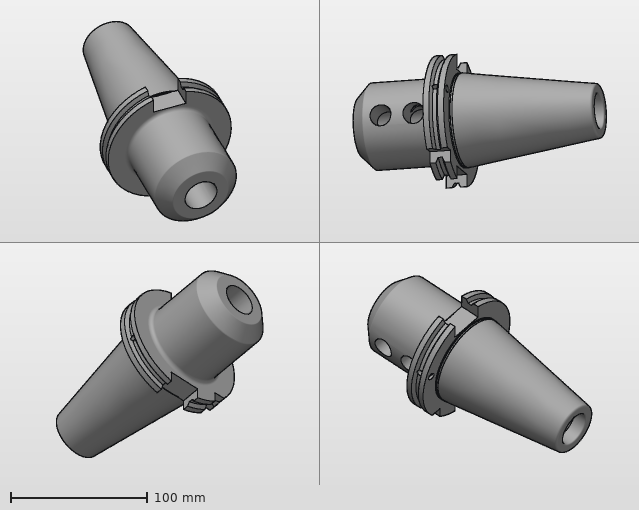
import cadquery as cq
import math

LENGTH = 181.8

TAPER_RATIO = 7 / 24
TAPER_END_X = 102.5
TAPER_R = 70.0 / 2
TAPER_TIP_R = TAPER_R - TAPER_END_X * TAPER_RATIO / 2
TIP_ROUND = 1.8
RELIEF_END_X = 104.0
RELIEF_DEPTH = 0.4

FLANGE_START_X = 104.9
FLANGE_END_X = 120.7
FLANGE_R = 97.5 / 2
GROOVE_X = 112.9
GROOVE_R = 45.6
GROOVE_FLOOR_WIDTH = 3.0
GROOVE_MOUTH_WIDTH = GROOVE_FLOOR_WIDTH + 2 * (FLANGE_R - GROOVE_R) * math.tan(math.radians(30))

NOSE_R = 64.5 / 2
NECK_FILLET = 3.0
NOSE_CONE_X = 171.4
NOSE_EDGE_ROUND = 1.0
NOSE_FACE_R = NOSE_R - (LENGTH - NOSE_CONE_X)
FACE_EDGE_ROUND = 1.0

PILOT_R = 26.0 / 2
PILOT_DEPTH = 11.3
PILOT_MOUTH_ROUND = 1.0
THROUGH_R = 21.0 / 2
TOOL_BORE_R = 25.0 / 2
TOOL_BORE_DEPTH = 58.2

SLOT_WIDTH = 25.6
TOP_SLOT_FLOOR = 35.5
BOTTOM_SLOT_FLOOR = 37.6
NOTCH_OFFSET = 29.8

SCREW_HOLE_R = 15.8 / 2
SCREW_HOLE_X = 157.8
SCREW_HOLE_PITCH = 25.0

COOLANT_ANGLE = 20.0
COOLANT_TILT = 35.0
COOLANT_START_R = 42.0
COOLANT_MOUTH_R = 5.0 / 2
COOLANT_MOUTH_DEPTH = 4.4
COOLANT_R = 2.5 / 2
PLUG_HOLE_R = 4.2 / 2

CLEARANCE = 3.6


def directed_cylinder(start, direction, radius, length):
    """Cylinder of the given length along any direction."""
    return cq.Solid.makeCylinder(radius, length, start, direction)


def tapered_shank():
    """Taper with a rounded tip and a shallow relief in front of the flange."""
    relief_r = TAPER_R - RELIEF_DEPTH
    profile = (
        cq.Workplane("XY")
        .lineTo(0, TAPER_TIP_R)
        .lineTo(TAPER_END_X, TAPER_R)
        .lineTo(TAPER_END_X, relief_r)
        .lineTo(RELIEF_END_X, relief_r)
        .lineTo(RELIEF_END_X, TAPER_R)
        .lineTo(FLANGE_START_X, TAPER_R)
        .lineTo(FLANGE_START_X, 0)
        .close()
    )
    shank = profile.revolve(360, (0, 0, 0), (1, 0, 0))
    return shank.faces("<X").edges().fillet(TIP_ROUND)


def nose():
    """Cylindrical nose with a 45 degree front cone and softened edges."""
    profile = (
        cq.Workplane("XY")
        .moveTo(FLANGE_START_X, 0)
        .lineTo(FLANGE_START_X, NOSE_R)
        .lineTo(NOSE_CONE_X, NOSE_R)
        .lineTo(LENGTH, NOSE_FACE_R)
        .lineTo(LENGTH, 0)
        .close()
    )
    body = profile.revolve(360, (0, 0, 0), (1, 0, 0))
    body = body.faces(">X").edges().fillet(FACE_EDGE_ROUND)
    cone_edge = cq.selectors.BoxSelector(
        (NOSE_CONE_X - 0.2, -LENGTH, -LENGTH), (NOSE_CONE_X + 0.2, LENGTH, LENGTH)
    )
    return body.edges(cone_edge).fillet(NOSE_EDGE_ROUND)


def neck_fillet():
    """Concave ring blending the nose into the back of the flange."""
    outer_r = NOSE_R + NECK_FILLET
    end_x = FLANGE_END_X + NECK_FILLET
    arc_offset = NECK_FILLET * (1 - math.sqrt(0.5))
    return (
        cq.Workplane("XY")
        .moveTo(FLANGE_START_X, 0)
        .lineTo(FLANGE_START_X, outer_r)
        .lineTo(FLANGE_END_X, outer_r)
        .threePointArc((FLANGE_END_X + arc_offset, NOSE_R + arc_offset), (end_x, NOSE_R))
        .lineTo(end_x, 0)
        .close()
        .revolve(360, (0, 0, 0), (1, 0, 0))
    )


def flange():
    """Disc with the V groove."""
    profile = (
        cq.Workplane("XY")
        .moveTo(FLANGE_START_X, 0)
        .lineTo(FLANGE_START_X, FLANGE_R)
        .lineTo(GROOVE_X - GROOVE_MOUTH_WIDTH / 2, FLANGE_R)
        .lineTo(GROOVE_X - GROOVE_FLOOR_WIDTH / 2, GROOVE_R)
        .lineTo(GROOVE_X + GROOVE_FLOOR_WIDTH / 2, GROOVE_R)
        .lineTo(GROOVE_X + GROOVE_MOUTH_WIDTH / 2, FLANGE_R)
        .lineTo(FLANGE_END_X, FLANGE_R)
        .lineTo(FLANGE_END_X, 0)
        .close()
    )
    return profile.revolve(360, (0, 0, 0), (1, 0, 0))


def flange_cutouts():
    """Two drive slots and the corner notch, across the full width of the flange."""
    width = FLANGE_END_X - FLANGE_START_X
    top_slot = cq.Workplane("XY").box(width, SLOT_WIDTH, FLANGE_R, centered=(False, True, False))
    bottom_slot = top_slot.translate((FLANGE_START_X, 0, -BOTTOM_SLOT_FLOOR - FLANGE_R))
    top_slot = top_slot.translate((FLANGE_START_X, 0, TOP_SLOT_FLOOR))
    notch = (
        cq.Workplane("XY")
        .box(width, FLANGE_R, FLANGE_R, centered=False)
        .translate((FLANGE_START_X, NOTCH_OFFSET, -NOTCH_OFFSET - FLANGE_R))
    )
    return top_slot.union(bottom_slot).union(notch)


def central_bore():
    """Pilot bore with rounded mouth, through hole and tool bore."""
    mouth_r = PILOT_R + PILOT_MOUTH_ROUND
    arc_offset = PILOT_MOUTH_ROUND * (1 - math.sqrt(0.5))
    tool_bore_x = LENGTH - TOOL_BORE_DEPTH
    return (
        cq.Workplane("XY")
        .lineTo(0, mouth_r)
        .threePointArc((arc_offset, PILOT_R + arc_offset), (PILOT_MOUTH_ROUND, PILOT_R))
        .lineTo(PILOT_DEPTH, PILOT_R)
        .lineTo(PILOT_DEPTH + PILOT_R - THROUGH_R, THROUGH_R)
        .lineTo(tool_bore_x, THROUGH_R)
        .lineTo(tool_bore_x, TOOL_BORE_R)
        .lineTo(LENGTH, TOOL_BORE_R)
        .lineTo(LENGTH, 0)
        .close()
        .revolve(360, (0, 0, 0), (1, 0, 0))
    )


def coolant_passage(angle):
    """Stepped inclined hole into the tool bore, with a radial plug hole from the groove."""
    tilt = math.radians(COOLANT_TILT)
    radial = cq.Vector(0, math.cos(math.radians(angle)), math.sin(math.radians(angle)))
    start = cq.Vector(FLANGE_START_X, 0, 0) + radial * COOLANT_START_R
    direction = cq.Vector(math.cos(tilt), 0, 0) - radial * math.sin(tilt)
    entry = start - direction * CLEARANCE
    length_to_bore = (COOLANT_START_R - TOOL_BORE_R) / math.sin(tilt)

    mouth = directed_cylinder(entry, direction, COOLANT_MOUTH_R, CLEARANCE + COOLANT_MOUTH_DEPTH)
    channel = directed_cylinder(start, direction, COOLANT_R, length_to_bore + CLEARANCE)
    plug_floor_r = COOLANT_START_R - (GROOVE_X - FLANGE_START_X) * math.tan(tilt)
    plug_floor = cq.Vector(GROOVE_X, 0, 0) + radial * plug_floor_r
    plug_hole = directed_cylinder(plug_floor, radial, PLUG_HOLE_R, FLANGE_R - plug_floor_r)
    return cq.Workplane(mouth.fuse(channel).fuse(plug_hole))


result = tapered_shank().union(nose()).union(neck_fillet()).union(flange())
result = result.cut(flange_cutouts()).cut(central_bore())

for hole_x in (SCREW_HOLE_X - SCREW_HOLE_PITCH, SCREW_HOLE_X):
    screw_hole = directed_cylinder(
        cq.Vector(hole_x, 0, 0), cq.Vector(0, 1, 0), SCREW_HOLE_R, NOSE_R + CLEARANCE
    )
    result = result.cut(cq.Workplane(screw_hole))

for passage_angle in (COOLANT_ANGLE, COOLANT_ANGLE + 180):
    result = result.cut(coolant_passage(passage_angle))